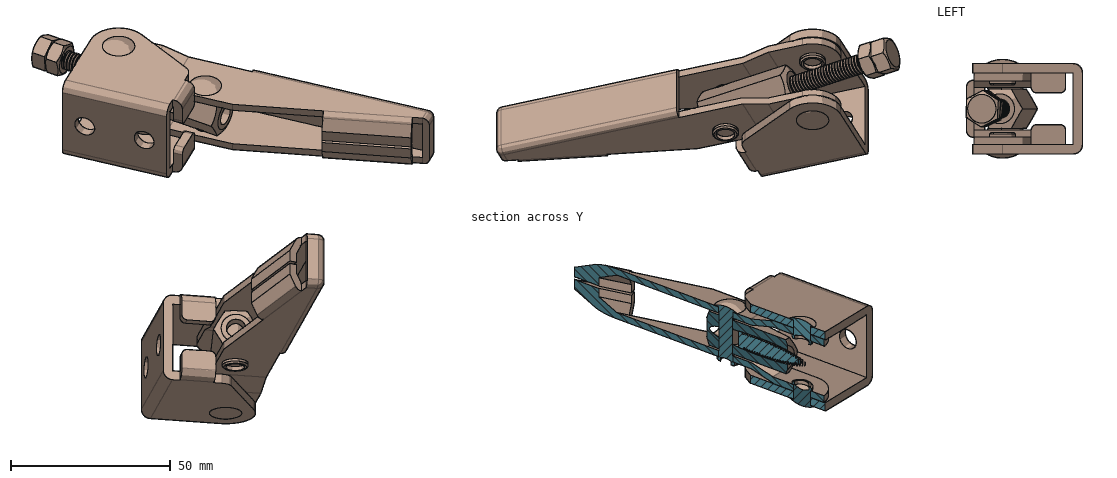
import cadquery as cq
import math


base_length = 35.0
base_width = 28.4
base_thickness = 3.0
base_bend_radius = 2.9
base_tip_radius = 9.4
base_slope_angle = 30
base_corner_radius = 4
base_inner_z = base_width / 2 - base_thickness
screw_hole_diameter = 6.6
screw_hole_spacing = 19.9
tab_reach = 38.3
tab_bottom = 5.3
tab_top = 16.1
tab_inner_z = 4.95
tab_corner_radius = 1.7

base_pivot_x = base_tip_radius
base_pivot_y = 25.1
link_pivot_x = 39.6
link_pivot_y = 22.0
shank_radius = 3.4
rivet_head_radius = 5.08
rivet_head_height = 1.3
rivet_collar_radius = 4.1
rivet_collar_height = 1.3
rivet_collar_chamfer = 0.5
rivet_recess_radius = 2.9
rivet_recess_cone = 1.0

axis_angle = 9.1
link_length = 31.9
link_end = 7.3
link_across_flats = 12.3
link_face_radius = 4.68
link_chamfer_depth = 1.0
bolt_across_flats = 10.0
bolt_face_radius = 4.5
bolt_chamfer_depth = 0.7
bolt_head_turn = 2.5
nut_turn = 7
bolt_head_height = 5.0
nut_height = 5.0
bolt_head_end = -60.2
bolt_length = 50.0
thread_radius = 3.0
thread_depth = 0.6
thread_pitch = 1.0
thread_length = 43.5
thread_start_turn = 17
thread_groove_width = 0.85
thread_groove_overrun = 0.07

overall_length = 132
bolt_tilt = math.radians(axis_angle)
bolt_rim_x = link_pivot_x + bolt_head_end * math.cos(bolt_tilt) - bolt_face_radius * math.sin(bolt_tilt)

handle_thickness = 2.4
handle_end_x = bolt_rim_x + overall_length
handle_back_y = 36.4
handle_half_width = 9.0
handle_inner_z = handle_half_width - handle_thickness
handle_bend_radius = 2.2
web_start_x = 50.7
web_inner_y = handle_back_y - handle_thickness
ear_radius = web_inner_y - base_pivot_y
ear_bottom_y = base_pivot_y - ear_radius
ear_outer_z = base_inner_z
ear_inner_z = ear_outer_z - handle_thickness
joggle_start_x = 20.8
joggle_end_x = 29.4
taper_start_x = 50.9
end_wall_bottom_y = 30.6
end_wall_x = handle_end_x - handle_thickness
taper_angle = math.degrees(math.atan2(end_wall_bottom_y - ear_bottom_y, end_wall_x - taper_start_x))

grip_start_x = 78.8
grip_length = 28.1
grip_depth = 4.1
grip_flank_angle = 28
grip_edge_z = 0.4


def cylinder_z(x, y, radius, low, high):
    """Cylinder along Z between two heights."""
    return cq.Workplane("XY", origin=(x, y, low)).circle(radius).extrude(high - low)


def make_base():
    half_width = base_width / 2
    slope = math.radians(base_slope_angle)
    tangent_x = base_pivot_x + base_tip_radius * math.sin(slope)
    tangent_y = base_pivot_y + base_tip_radius * math.cos(slope)
    shoulder_y = tangent_y - (base_length - tangent_x) * math.tan(slope)
    arc_mid = (
        base_pivot_x - base_tip_radius * math.cos(slope),
        base_pivot_y + base_tip_radius * math.sin(slope),
    )
    side = (
        cq.Workplane("XY", origin=(0, 0, -half_width))
        .moveTo(0, 0)
        .lineTo(base_length, 0)
        .lineTo(base_length, shoulder_y)
        .lineTo(tangent_x, tangent_y)
        .threePointArc(arc_mid, (0, base_pivot_y))
        .close()
        .extrude(base_width)
        .edges(cq.NearestToPointSelector((base_length, shoulder_y, 0)))
        .fillet(base_corner_radius)
        .edges("|X and <Y")
        .fillet(base_bend_radius)
    )
    channel_depth = base_pivot_y + base_tip_radius
    channel = cq.Workplane("XY").box(
        2 * base_length, channel_depth, 2 * base_inner_z, centered=(True, False, True)
    ).translate((0, base_thickness, 0))
    body = side.cut(channel)

    for sign in (-1, 1):
        body = body.union(make_tab(sign))
        body = body.cut(cylinder_z(base_pivot_x, base_pivot_y, shank_radius, 0, sign * base_width))

    for offset in (-screw_hole_spacing / 2, screw_hole_spacing / 2):
        hole = (
            cq.Workplane("XZ", origin=(base_length / 2 + offset, 0, 0))
            .circle(screw_hole_diameter / 2)
            .extrude(-base_thickness)
        )
        body = body.cut(hole)
    return body


def make_tab(sign):
    """End tab that continues a side wall and folds inward."""
    wall_z = base_width / 2
    fold_x = tab_reach - base_thickness
    tab = (
        cq.Workplane("XZ", origin=(0, tab_bottom, 0))
        .moveTo(base_length, sign * wall_z)
        .lineTo(tab_reach, sign * wall_z)
        .lineTo(tab_reach, sign * tab_inner_z)
        .lineTo(fold_x, sign * tab_inner_z)
        .lineTo(fold_x, sign * base_inner_z)
        .lineTo(base_length, sign * base_inner_z)
        .close()
        .extrude(tab_bottom - tab_top)
    )
    tab = tab.edges(
        cq.NearestToPointSelector((tab_reach, (tab_bottom + tab_top) / 2, sign * wall_z))
    ).fillet(base_bend_radius)
    for y in (tab_bottom, tab_top):
        tab = tab.edges(
            cq.NearestToPointSelector(((fold_x + tab_reach) / 2, y, sign * tab_inner_z))
        ).fillet(tab_corner_radius)
    return tab


def make_handle_side(sign):
    """One joggled side wall, trimmed to the lever's outline."""
    left_x = base_pivot_x - ear_radius
    wall = (
        cq.Workplane("XZ")
        .moveTo(left_x, sign * ear_outer_z)
        .lineTo(joggle_start_x, sign * ear_outer_z)
        .lineTo(joggle_end_x, sign * handle_half_width)
        .lineTo(handle_end_x, sign * handle_half_width)
        .lineTo(handle_end_x, sign * handle_inner_z)
        .lineTo(joggle_end_x, sign * handle_inner_z)
        .lineTo(joggle_start_x, sign * ear_inner_z)
        .lineTo(left_x, sign * ear_inner_z)
        .close()
        .extrude(-handle_back_y)
    )
    outline = (
        cq.Workplane("XY", origin=(0, 0, -base_width / 2))
        .moveTo(base_pivot_x, ear_bottom_y)
        .lineTo(taper_start_x, ear_bottom_y)
        .lineTo(end_wall_x, end_wall_bottom_y)
        .lineTo(handle_end_x, end_wall_bottom_y)
        .lineTo(handle_end_x, handle_back_y)
        .lineTo(web_start_x, handle_back_y)
        .lineTo(web_start_x, web_inner_y)
        .lineTo(base_pivot_x, web_inner_y)
        .threePointArc((left_x, base_pivot_y), (base_pivot_x, ear_bottom_y))
        .close()
        .extrude(base_width)
    )
    return wall.intersect(outline)


def make_grip_wing(sign):
    """Wing with a rounded bend, a slanted flank and a flat lip."""
    taper = math.radians(taper_angle)
    start_y = ear_bottom_y + (grip_start_x - taper_start_x) * math.tan(taper)
    section = cq.Plane(
        origin=(grip_start_x, start_y, 0),
        xDir=(math.sin(taper), -math.cos(taper), 0),
        normal=(-math.cos(taper), -math.sin(taper), 0),
    )
    flank = math.radians(grip_flank_angle)
    half_bend = (math.pi / 2 - flank) / 2
    bend_mid_depth = handle_thickness * math.sin(half_bend)
    bend_mid_z = handle_inner_z + handle_thickness * math.cos(half_bend)
    bend_end_depth = handle_thickness * math.cos(flank)
    bend_end_z = handle_inner_z + handle_thickness * math.sin(flank)
    lip_outer_z = bend_end_z - (grip_depth - bend_end_depth) / math.tan(flank)
    lip_inner_depth = grip_depth - handle_thickness
    lip_inner_z = handle_inner_z - lip_inner_depth / math.tan(flank)
    return (
        cq.Workplane(section)
        .moveTo(0, sign * handle_inner_z)
        .lineTo(0, sign * handle_half_width)
        .threePointArc((bend_mid_depth, sign * bend_mid_z), (bend_end_depth, sign * bend_end_z))
        .lineTo(grip_depth, sign * lip_outer_z)
        .lineTo(grip_depth, sign * grip_edge_z)
        .lineTo(lip_inner_depth, sign * grip_edge_z)
        .lineTo(lip_inner_depth, sign * lip_inner_z)
        .close()
        .extrude(-grip_length)
    )


def make_handle():
    width = 2 * handle_half_width
    web = cq.Workplane("XY").box(
        handle_end_x - web_start_x, handle_thickness, width, centered=(False, False, True)
    ).translate((web_start_x, web_inner_y, 0))
    end_wall = cq.Workplane("XY").box(
        handle_thickness, handle_back_y - end_wall_bottom_y, width, centered=(False, False, True)
    ).translate((end_wall_x, end_wall_bottom_y, 0))
    body = web.union(end_wall)
    for sign in (-1, 1):
        body = body.union(make_handle_side(sign))
    body = body.clean()

    web_mid_x = (web_start_x + handle_end_x) / 2
    end_mid_y = (end_wall_bottom_y + handle_back_y) / 2
    bend_points = [(handle_end_x, handle_back_y, 0)]
    for sign in (-1, 1):
        bend_points.append((web_mid_x, handle_back_y, sign * handle_half_width))
        bend_points.append((handle_end_x, end_mid_y, sign * handle_half_width))
    bends = body.edges(cq.NearestToPointSelector(bend_points[0]))
    for point in bend_points[1:]:
        bends = bends.add(body.edges(cq.NearestToPointSelector(point)))
    body = bends.fillet(handle_bend_radius)

    for sign in (-1, 1):
        body = body.union(make_grip_wing(sign))
    for x, y in ((base_pivot_x, base_pivot_y), (link_pivot_x, link_pivot_y)):
        body = body.cut(cylinder_z(x, y, shank_radius, -base_width / 2, base_width / 2))
    return body


def make_headed_pin(grip):
    """Pin along Z: domed head above Z = 0, collar with a drilled end below Z = -grip."""
    collar_end = -grip - rivet_collar_height
    dome_radius = (rivet_head_radius**2 + rivet_head_height**2) / (2 * rivet_head_height)
    mid_r = rivet_head_radius / 2
    mid_z = rivet_head_height - dome_radius + math.sqrt(dome_radius**2 - mid_r**2)
    return (
        cq.Workplane("XZ")
        .moveTo(0, rivet_head_height)
        .threePointArc((mid_r, mid_z), (rivet_head_radius, 0))
        .lineTo(shank_radius, 0)
        .lineTo(shank_radius, -grip)
        .lineTo(rivet_collar_radius, -grip)
        .lineTo(rivet_collar_radius, collar_end + rivet_collar_chamfer)
        .lineTo(rivet_collar_radius - rivet_collar_chamfer, collar_end)
        .lineTo(rivet_recess_radius, collar_end)
        .lineTo(rivet_recess_radius, -grip)
        .lineTo(0, -grip + rivet_recess_cone)
        .close()
        .revolve(360, (0, 0), (0, 1))
    )


def make_base_rivet(sign):
    """Rivet joining one base wall to the handle ear inside it."""
    rivet = make_headed_pin(base_width / 2 - ear_inner_z)
    if sign < 0:
        rivet = rivet.rotate((0, 0, 0), (1, 0, 0), 180)
    return rivet.translate((base_pivot_x, base_pivot_y, sign * base_width / 2))


def make_link_pin():
    """Pin through both handle sides and the draw link."""
    pin = make_headed_pin(2 * handle_half_width)
    return pin.translate((link_pivot_x, link_pivot_y, handle_half_width))


def place_on_axis(body):
    """Lay a body built along Z onto the bolt axis, with Z = 0 at the link pivot."""
    axis = cq.Plane(
        origin=(link_pivot_x, link_pivot_y, 0),
        xDir=(0, 0, 1),
        normal=(math.cos(bolt_tilt), -math.sin(bolt_tilt), 0),
    )
    return cq.Workplane(body.val().moved(axis.location))


def hex_prism(across_flats, start, length, turn, face_radius, chamfer_depth, chamfered_ends):
    """Hexagonal prism along Z with turned chamfers on the chosen ends."""
    corner_radius = across_flats / math.sqrt(3)
    prism = (
        cq.Workplane("XY", origin=(0, 0, start))
        .polygon(6, 2 * corner_radius)
        .extrude(length)
        .rotate((0, 0, 0), (0, 0, 1), turn)
    )
    bottom_radius = face_radius if "<Z" in chamfered_ends else corner_radius
    top_radius = face_radius if ">Z" in chamfered_ends else corner_radius
    turned_blank = (
        cq.Workplane("XZ")
        .moveTo(0, start)
        .lineTo(bottom_radius, start)
        .lineTo(corner_radius, start + chamfer_depth)
        .lineTo(corner_radius, start + length - chamfer_depth)
        .lineTo(top_radius, start + length)
        .lineTo(0, start + length)
        .close()
        .revolve(360, (0, 0), (0, 1))
    )
    return prism.intersect(turned_blank)


def make_link():
    link_start = link_end - link_length
    link = hex_prism(
        link_across_flats, link_start, link_length, 30, link_face_radius, link_chamfer_depth, ("<Z", ">Z")
    )
    link = place_on_axis(link.cut(cylinder_z(0, 0, thread_radius, link_start, link_end)))
    return link.cut(
        cylinder_z(link_pivot_x, link_pivot_y, shank_radius, -handle_half_width, handle_half_width)
    )


def make_bolt():
    shank_start = bolt_head_end + bolt_head_height
    head = hex_prism(
        bolt_across_flats,
        bolt_head_end,
        bolt_head_height,
        bolt_head_turn,
        bolt_face_radius,
        bolt_chamfer_depth,
        ("<Z",),
    )
    shank = cylinder_z(0, 0, thread_radius, shank_start, shank_start + bolt_length)
    root_radius = thread_radius - thread_depth
    helix = cq.Wire.makeHelix(thread_pitch, thread_length, root_radius)
    half_groove = thread_groove_width / 2
    groove_top = thread_radius + thread_groove_overrun
    groove = (
        cq.Workplane("XZ")
        .moveTo(root_radius, 0)
        .lineTo(groove_top, half_groove)
        .lineTo(groove_top, -half_groove)
        .close()
        .sweep(cq.Workplane(helix), isFrenet=True)
        .rotate((0, 0, 0), (0, 0, 1), thread_start_turn)
        .translate((0, 0, shank_start + nut_height))
    )
    return place_on_axis(head.union(shank.cut(groove)))


def make_nut():
    nut_start = bolt_head_end + bolt_head_height
    nut = hex_prism(
        bolt_across_flats, nut_start, nut_height, nut_turn, bolt_face_radius, bolt_chamfer_depth, ("<Z", ">Z")
    )
    return place_on_axis(nut.cut(cylinder_z(0, 0, thread_radius, nut_start, nut_start + nut_height)))


base = make_base()
handle = make_handle()
base_rivets = [make_base_rivet(sign) for sign in (-1, 1)]
link_pin = make_link_pin()
link = make_link()
bolt = make_bolt()
nut = make_nut()

result = cq.Compound.makeCompound(
    [
        base.val(),
        handle.val(),
        *[rivet.val() for rivet in base_rivets],
        link_pin.val(),
        link.val(),
        bolt.val(),
        nut.val(),
    ]
)